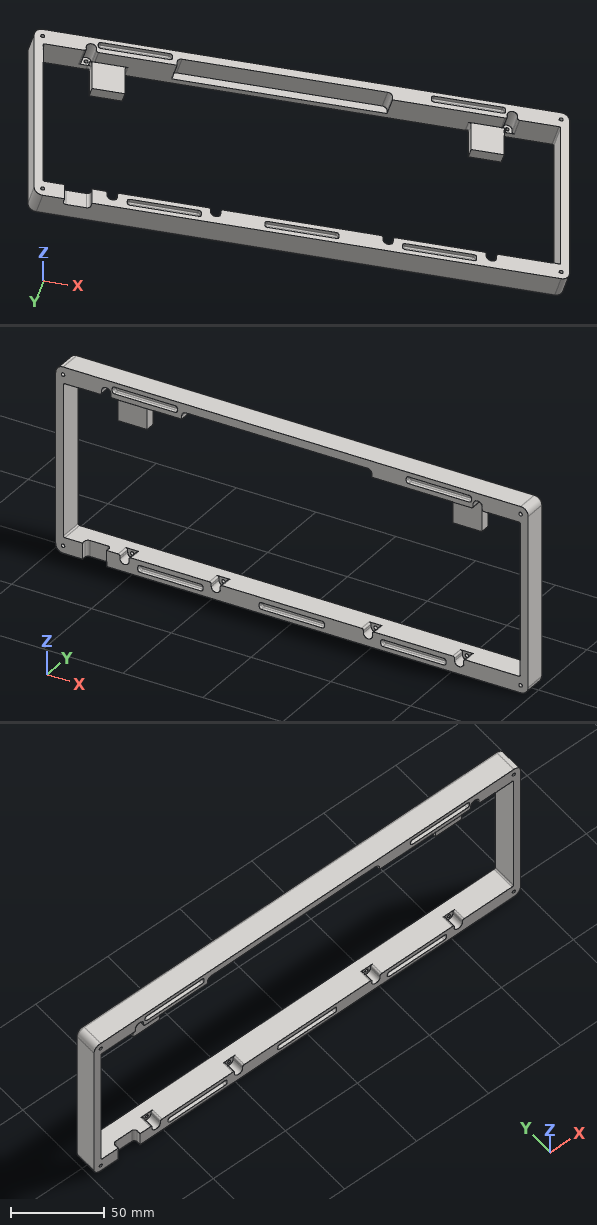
import cadquery as cq
import math

LENGTH = 296.2
DEPTH = 15.5
HEIGHT = 115.8
OUTER_RADIUS = 4.7
BACK_FILLET = 1.5
SIDE_WALL = 5.0
RAIL_HEIGHT = 10.0
INNER_RADIUS = 1.0

FRONT_Y = -DEPTH / 2
OPENING_LENGTH = LENGTH - 2 * SIDE_WALL
OPENING_TOP = HEIGHT / 2 - RAIL_HEIGHT

HOLE_DIAMETER = 2.0
CORNER_HOLE_INSET = 4.7
CORNER_HOLE_DEPTH = 7.5

TAB_X = 105.0
TAB_WIDTH = 18.5
TAB_DROP = 18.7
TAB_THICKNESS = 6.5
TAB_FRONT_GAP = 8.3
TAB_ROOT_FILLET = 1.5

SLOT_LENGTH = 41.0
SLOT_WIDTH = 4.0
SLOT_DEPTH = 3.0
SLOT_Z = 53.0
SLOT_CORNER_RADIUS = 1.5
SLOT_FLOOR_FILLET = 0.75
TOP_SLOT_XS = (-92.0, 92.0)
BOTTOM_SLOT_XS = (-76.0, 0, 76.0)

POCKET_WIDTH = 5.5
POCKET_Z = 50.5
TOP_POCKET_DEPTH = 11.8
BOTTOM_POCKET_DEPTH = 8.0
MOUTH_RADIUS = 1.2
PILOT_DEPTH = 3.0
TOP_POCKET_XS = (-116.5, 116.5)
BOTTOM_POCKET_XS = (-105.0, -47.7, 47.7, 105.0)

RECESS_LEFT = -69.0
RECESS_RIGHT = 50.0
RECESS_HEIGHT = 4.7
RECESS_RADIUS = 2.7
RECESS_DEPTH = 11.8

NOTCH_LEFT = -131.2
NOTCH_RIGHT = -116.0
NOTCH_DEPTH = 4.5
NOTCH_FILLET = 1.93


def block(left, right, bottom, top, front_gap, depth):
    """Box placed by its X and Z limits, starting front_gap behind the front face."""
    return cq.Workplane("XY").box(right - left, depth, top - bottom, centered=False).translate(
        (left, FRONT_Y + front_gap, bottom)
    )


def front_cylinder(x, z, diameter, front_gap, depth):
    """Cylinder along Y, starting front_gap behind the front face."""
    start = cq.Vector(x, FRONT_Y + front_gap, z)
    return cq.Workplane(cq.Solid.makeCylinder(diameter / 2, depth, start, cq.Vector(0, 1, 0)))


def frame():
    body = cq.Workplane("XY").box(LENGTH, DEPTH, HEIGHT)
    body = body.edges("|Y").fillet(OUTER_RADIUS)
    body = body.faces(">Y").edges().fillet(BACK_FILLET)
    opening = cq.Workplane("XY").box(OPENING_LENGTH, DEPTH, 2 * OPENING_TOP)
    return body.cut(opening.edges("|Y").fillet(INNER_RADIUS))


def flared_stub(x, width, root_z, end_z, radius, front_gap, depth):
    """Block from root_z to end_z whose two sides flare out through arcs where it meets root_z."""
    half = width / 2
    flare_end_z = root_z + math.copysign(radius, end_z - root_z)
    sag = 1 - math.sqrt(0.5)
    mid_x = half + sag * radius
    mid_z = root_z + sag * (flare_end_z - root_z)
    outline = (
        cq.Workplane("XZ", origin=(x, FRONT_Y + front_gap, 0))
        .moveTo(-half - radius, root_z)
        .threePointArc((-mid_x, mid_z), (-half, flare_end_z))
        .lineTo(-half, end_z)
        .lineTo(half, end_z)
        .lineTo(half, flare_end_z)
        .threePointArc((mid_x, mid_z), (half + radius, root_z))
        .close()
    )
    return outline.extrude(-depth)


def tab(x):
    tip_z = OPENING_TOP - TAB_DROP
    return flared_stub(x, TAB_WIDTH, OPENING_TOP, tip_z, TAB_ROOT_FILLET, TAB_FRONT_GAP, TAB_THICKNESS)


def slot(x, z):
    half_length = SLOT_LENGTH / 2
    half_width = SLOT_WIDTH / 2
    cutter = block(x - half_length, x + half_length, z - half_width, z + half_width, 0, SLOT_DEPTH)
    cutter = cutter.edges("|Y").fillet(SLOT_CORNER_RADIUS)
    return cutter.faces(">Y").edges().fillet(SLOT_FLOOR_FILLET)


def screw_pocket(x, side, depth):
    """Pocket and pilot hole; side is 1 for the top rail and -1 for the bottom rail."""
    z = side * POCKET_Z
    mouth = flared_stub(x, POCKET_WIDTH, side * OPENING_TOP, z, MOUTH_RADIUS, 0, depth)
    round_end = front_cylinder(x, z, POCKET_WIDTH, 0, depth)
    pilot = front_cylinder(x, z, HOLE_DIAMETER, depth, PILOT_DEPTH)
    return mouth.union(round_end).union(pilot)


def rail_recess():
    top = OPENING_TOP + RECESS_HEIGHT
    cutter = block(RECESS_LEFT, RECESS_RIGHT, OPENING_TOP, top, 0, RECESS_DEPTH)
    return cutter.faces(">Z").edges("|Y").fillet(RECESS_RADIUS)


def notch():
    cutter = block(NOTCH_LEFT, NOTCH_RIGHT, -HEIGHT / 2, -OPENING_TOP, 0, NOTCH_DEPTH)
    return cutter.faces(">Y").edges("|Z").fillet(NOTCH_FILLET)


def corner_holes():
    cutter = cq.Workplane("XY")
    hole_x = LENGTH / 2 - CORNER_HOLE_INSET
    hole_z = HEIGHT / 2 - CORNER_HOLE_INSET
    for x in (-hole_x, hole_x):
        for z in (-hole_z, hole_z):
            cutter = cutter.add(front_cylinder(x, z, HOLE_DIAMETER, 0, CORNER_HOLE_DEPTH))
    return cutter.combine()


result = frame()
for x in (-TAB_X, TAB_X):
    result = result.union(tab(x))
for x in TOP_SLOT_XS:
    result = result.cut(slot(x, SLOT_Z))
for x in BOTTOM_SLOT_XS:
    result = result.cut(slot(x, -SLOT_Z))
for x in TOP_POCKET_XS:
    result = result.cut(screw_pocket(x, 1, TOP_POCKET_DEPTH))
for x in BOTTOM_POCKET_XS:
    result = result.cut(screw_pocket(x, -1, BOTTOM_POCKET_DEPTH))
result = result.cut(corner_holes()).cut(rail_recess()).cut(notch())